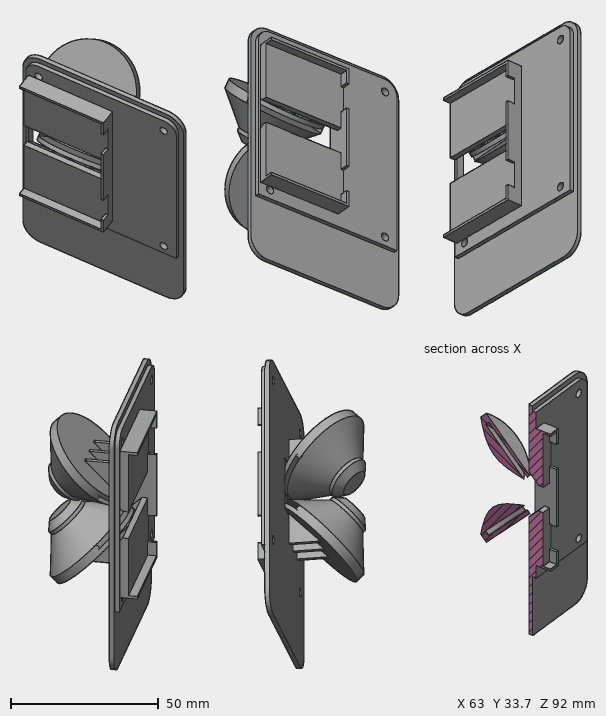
import cadquery as cq
import math


plate_width = 63.0
plate_height = 92.0
plate_thickness = 1.6
plate_corner_radius = 7.0

panel_inset = 2.0
panel_height = 66.5
panel_thickness = 1.5
panel_corner_radius = plate_corner_radius - panel_inset

hole_diameter = 3.0
hole_inset = 7.0
hole_pitch_x = plate_width - 2 * hole_inset
hole_pitch_z = 58.0

tray_left_offset = 3.0
pad_width = 32.0
pad_thickness = 3.0
tray_wall = 1.0
tray_wall_rise = 3.0
tray_height = 55.0
window_height = 10.0
wall_gap = 10.0
wall_gap_offset = 5.0

rib_count = 3
rib_pitch = 7.3
rib_thickness = 1.5
rib_leg = 14.8

speaker_tilt = 45.0
speaker_diameter = 36.0
rim_thickness = 3.4
cone_depth = 10.0
magnet_diameter = 15.8
magnet_depth = 1.32
magnet_taper_depth = 2.6
magnet_end_diameter = 10.0
rim_notch_diameter = 31.8
rim_notch_width = 1.8
speaker_tip_front = 1.0
speaker_tip_height = 4.05
window_clearance = 0.9

tray_centre_z = plate_height / 2 - hole_inset - hole_pitch_z / 2
tray_left = -plate_width / 2 + tray_left_offset
pad_right = tray_left + pad_width
speaker_x = tray_left + pad_width / 2
panel_front = -(plate_thickness + panel_thickness)
pad_front = panel_front - pad_thickness
tip_y = panel_front - speaker_tip_front
tip_z = tray_centre_z + speaker_tip_height


def block(x_min, x_max, y_min, y_max, z_min, z_max):
    size = (x_max - x_min, y_max - y_min, z_max - z_min)
    return cq.Workplane("XY").box(*size, centered=False).translate((x_min, y_min, z_min))


def side_profile(points, x_min, x_max):
    """Extrude a closed (Y, Z) outline from x_min to x_max."""
    return cq.Workplane("YZ", origin=(x_min, 0, 0)).polyline(points).close().extrude(x_max - x_min)


def mirror_about_tray(shape):
    """Copy a shape from above the tray centre to the matching place below it."""
    return shape.mirror("XY", (0, 0, tray_centre_z))


def make_plate():
    base = block(-plate_width / 2, plate_width / 2, -plate_thickness, 0, -plate_height / 2, plate_height / 2)
    return base.edges("|Y").fillet(plate_corner_radius)


def make_panel():
    half_width = plate_width / 2 - panel_inset
    top = plate_height / 2 - panel_inset
    panel = block(-half_width, half_width, panel_front, -plate_thickness, top - panel_height, top)
    return panel.edges("|Y and >Z").fillet(panel_corner_radius)


def make_tray():
    half_height = tray_height / 2
    bottom = tray_centre_z - half_height
    top = tray_centre_z + half_height
    rim_front = pad_front - tray_wall_rise
    tray = block(tray_left, pad_right + tray_wall, rim_front, panel_front, bottom, top)
    tray = tray.cut(block(tray_left, pad_right, rim_front, pad_front, bottom + tray_wall, top - tray_wall))
    gap_top = top - tray_wall - wall_gap_offset
    gap = block(pad_right, pad_right + tray_wall, rim_front, pad_front, gap_top - wall_gap, gap_top)
    return tray.cut(gap).cut(mirror_about_tray(gap))


def make_window():
    """Opening between the pads; its top and bottom walls slope to clear the speaker faces."""
    straight_top = tray_centre_z + window_height / 2
    slope_start = tip_y + (straight_top - tip_z) - window_clearance
    slope_end = straight_top - slope_start
    upper_half = side_profile(
        [
            (pad_front - tray_wall_rise, tray_centre_z),
            (pad_front - tray_wall_rise, straight_top),
            (slope_start, straight_top),
            (0, slope_end),
            (0, tray_centre_z),
        ],
        tray_left,
        pad_right,
    )
    return upper_half.union(mirror_about_tray(upper_half))


def place_upper_speaker(shape):
    """Move a shape from the untilted speaker, front face centred at the origin, to the upper place."""
    tilt = math.radians(speaker_tilt)
    radius = speaker_diameter / 2
    face_centre_y = tip_y + radius * math.cos(tilt)
    face_centre_z = tip_z + radius * math.sin(tilt)
    return shape.rotate((0, 0, 0), (1, 0, 0), speaker_tilt - 180).translate(
        (speaker_x, face_centre_y, face_centre_z)
    )


def make_face_column():
    """Round column in front of the upper speaker that keeps the ribs within its outline."""
    column = cq.Workplane("XY").circle(speaker_diameter / 2).extrude(-speaker_diameter)
    return place_upper_speaker(column)


def make_ribs():
    """Triangular ribs for the upper speaker, their sloping edges lying on its front face."""
    outline = [(tip_y, tip_z), (tip_y, tip_z + rib_leg), (tip_y + rib_leg, tip_z + rib_leg)]
    ribs = cq.Workplane("XY")
    for index in range(rib_count):
        rib_x = speaker_x + (index - (rib_count - 1) / 2) * rib_pitch
        ribs = ribs.union(side_profile(outline, rib_x - rib_thickness / 2, rib_x + rib_thickness / 2))
    return ribs.intersect(make_face_column())


def make_holder():
    holder = make_plate().union(make_panel()).union(make_tray())
    holes = (
        cq.Workplane("XZ", origin=(0, 0, tray_centre_z))
        .rarray(hole_pitch_x, hole_pitch_z, 2, 2)
        .circle(hole_diameter / 2)
        .extrude(-panel_front)
    )
    holder = holder.cut(holes).cut(make_window())
    ribs = make_ribs()
    return holder.union(ribs).union(mirror_about_tray(ribs))


def make_speaker():
    """Upper speaker: turned about +Z with its front face at Z = 0, then tilted into place."""
    radius = speaker_diameter / 2
    cone_end = rim_thickness + cone_depth
    magnet_end = cone_end + magnet_depth
    back_end = magnet_end + magnet_taper_depth
    speaker = (
        cq.Workplane("XZ")
        .moveTo(0, 0)
        .lineTo(radius, 0)
        .lineTo(radius, rim_thickness)
        .lineTo(magnet_diameter / 2, cone_end)
        .lineTo(magnet_diameter / 2, magnet_end)
        .lineTo(magnet_end_diameter / 2, back_end)
        .lineTo(0, back_end)
        .close()
        .revolve(360, (0, 0, 0), (0, 1, 0))
    )
    notch_start = rim_thickness - rim_notch_width
    notch_radius = rim_notch_diameter / 2
    notch = cq.Workplane("XY", origin=(0, 0, notch_start)).circle(notch_radius).extrude(rim_notch_width)
    notch = notch.union(block(-notch_radius, notch_radius, 0, radius, notch_start, rim_thickness))
    return place_upper_speaker(speaker.cut(notch))


holder = make_holder()
upper_speaker = make_speaker()
lower_speaker = mirror_about_tray(upper_speaker)

result = cq.Compound.makeCompound([holder.val(), upper_speaker.val(), lower_speaker.val()])